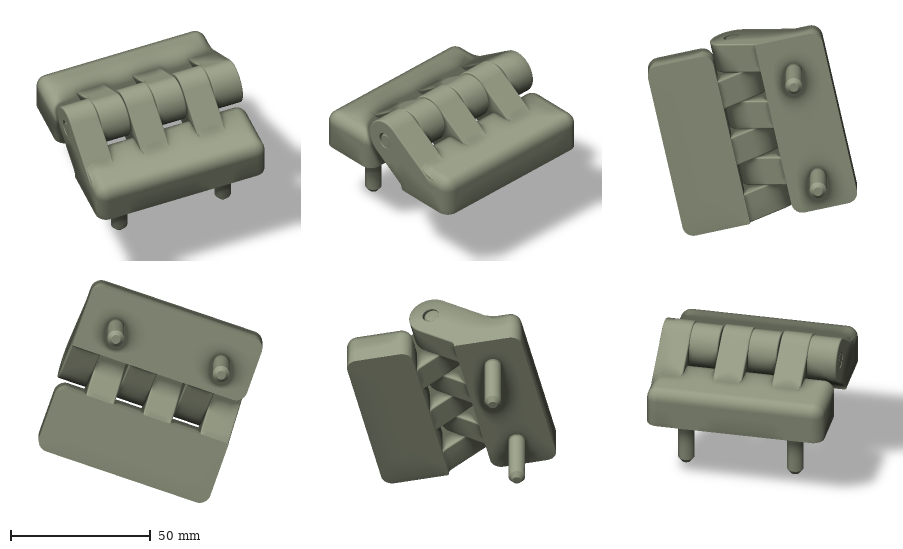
import cadquery as cq
import math

overall_x = 64.0
overall_y = 64.9
leaf_width = 24.0
leaf_height = 14.0
leaf_round = 4.0

overall_height = 25.0
knuckle_radius = 8.0
knuckle_offset = 0.5
arm_angle = 34.0
arm_root_top_radius = 5.2
arm_root_bottom_radius = 2.45
arm_edge_round = 0.5
root_core_bottom = 6.5
knuckle_width = 10.6
row_gap = 0.4
pair_gap = 0.05

bore_diameter = 6.0
pin_diameter = bore_diameter
pin_drop = 0.2
pin_chamfer = 0.5
pin_recess = 0.1

stud_diameter = 6.0
stud_length = 20.0
stud_x = 19.6
stud_spacing = 40.0
stud_tip_length = 1.75
stud_tip_diameter = 3.25

leaf_outer_x = overall_x / 2
leaf_inner_x = leaf_outer_x - leaf_width
end_y = overall_y / 2
knuckle_x = -knuckle_offset
knuckle_z = overall_height - knuckle_radius
sin_a = math.sin(math.radians(arm_angle))
cos_a = math.cos(math.radians(arm_angle))

inner_widths = 4 * knuckle_width + 2 * row_gap + 3 * pair_gap
end_knuckle_width = (overall_y - inner_widths) / 2
middle_end = -pair_gap / 2
far_start = middle_end + pair_gap + knuckle_width + row_gap
arm_spans = [
    (-end_y, -end_y + end_knuckle_width),
    (middle_end - knuckle_width, middle_end),
    (far_start, far_start + knuckle_width),
]


def upper_face_x(z):
    """X of the arm's upper sloping face at height z."""
    return knuckle_x + (knuckle_radius - (z - knuckle_z) * cos_a) / sin_a


def lower_face_z(x):
    """Height of the arm's lower sloping face at position x."""
    return knuckle_z - (knuckle_radius + (x - knuckle_x) * sin_a) / cos_a


def box_between(x_range, y_range, z_range):
    """BoxSelector that picks edges lying in the given ranges."""
    margin = 0.05
    ranges = (x_range, y_range, z_range)
    low = [start - margin for start, _ in ranges]
    high = [end + margin for _, end in ranges]
    return cq.selectors.BoxSelector(low, high, boundingbox=True)


def leaf_block():
    """Leaf of the +X side with rounded corners and top."""
    block = (
        cq.Workplane("XY")
        .box(leaf_width, overall_y, leaf_height, centered=(False, True, False))
        .translate((leaf_inner_x, 0, 0))
    )
    return block.edges("|Z or >Z").fillet(leaf_round)


def root_core(y_start, y_end):
    """Arm body between its rounded side edges, reaching down into the leaf."""
    tip_x = knuckle_x + knuckle_radius * sin_a
    tip_z = knuckle_z + knuckle_radius * cos_a
    return (
        cq.Workplane("XZ", origin=(0, y_start, 0))
        .moveTo(tip_x, tip_z)
        .lineTo(upper_face_x(root_core_bottom), root_core_bottom)
        .lineTo(leaf_inner_x, root_core_bottom)
        .close()
        .extrude(y_start - y_end)
    )


def arm(y_start, y_end):
    """Knuckle with its sloping arm and rounded side edges."""
    root_z = leaf_height - leaf_round
    root_x = upper_face_x(root_z)
    body = (
        cq.Workplane("XZ", origin=(0, y_start, 0))
        .moveTo(leaf_inner_x, 0)
        .lineTo(root_x, 0)
        .lineTo(root_x, root_z)
        .lineTo(knuckle_x + knuckle_radius * sin_a, knuckle_z + knuckle_radius * cos_a)
        .threePointArc(
            (knuckle_x - knuckle_radius * cos_a, knuckle_z + knuckle_radius * sin_a),
            (knuckle_x - knuckle_radius * sin_a, knuckle_z - knuckle_radius * cos_a),
        )
        .lineTo(leaf_inner_x, lower_face_z(leaf_inner_x))
        .close()
        .extrude(y_start - y_end)
    )
    corner = cq.selectors.NearestToPointSelector(
        (leaf_inner_x, (y_start + y_end) / 2, lower_face_z(leaf_inner_x))
    )
    body = body.edges("|Y").edges(corner).fillet(arm_root_bottom_radius)
    side_rims = body.faces("<Y or >Y").edges("not(<Z or >X)")
    return side_rims.fillet(arm_edge_round)


def rod_along_y(diameter, length):
    """Rod centred on the origin."""
    return cq.Workplane("XZ").circle(diameter / 2).extrude(length / 2, both=True)


def right_leaf():
    """Leaf with its arms; the arm roots are blended into the leaf's top and end rounding."""
    leaf = leaf_block()
    for y_start, y_end in arm_spans:
        leaf = leaf.union(root_core(y_start + arm_edge_round, y_end - arm_edge_round))
    root_lines = box_between(
        (upper_face_x(leaf_height), upper_face_x(leaf_height - leaf_round)),
        (arm_edge_round - end_y, end_y - leaf_round),
        (leaf_height - leaf_round, leaf_height),
    )
    leaf = leaf.edges(root_lines).fillet(arm_root_top_radius)
    for y_start, y_end in arm_spans:
        leaf = leaf.union(arm(y_start, y_end))
    bore = rod_along_y(bore_diameter, overall_y).translate((knuckle_x, 0, knuckle_z))
    return leaf.cut(bore)


def hinge_pin():
    """Chamfered pin through all knuckles, ending just inside the leaf ends."""
    pin = rod_along_y(pin_diameter, overall_y - 2 * pin_recess)
    pin = pin.faces("<Y or >Y").chamfer(pin_chamfer)
    return pin.translate((0, 0, knuckle_z - pin_drop))


def stud(y):
    """Stud hanging below the leaf, with a conical tip."""
    tip_inset = (stud_diameter - stud_tip_diameter) / 2
    return (
        cq.Workplane("XY", origin=(stud_x, y, 0))
        .circle(stud_diameter / 2)
        .extrude(-stud_length)
        .faces("<Z")
        .chamfer(stud_tip_length, tip_inset)
    )


plain_leaf = right_leaf()
left_leaf = plain_leaf.rotate((0, 0, 0), (0, 0, 1), 180)
result = plain_leaf.union(left_leaf).union(hinge_pin())
for stud_y in (-stud_spacing / 2, stud_spacing / 2):
    result = result.union(stud(stud_y))